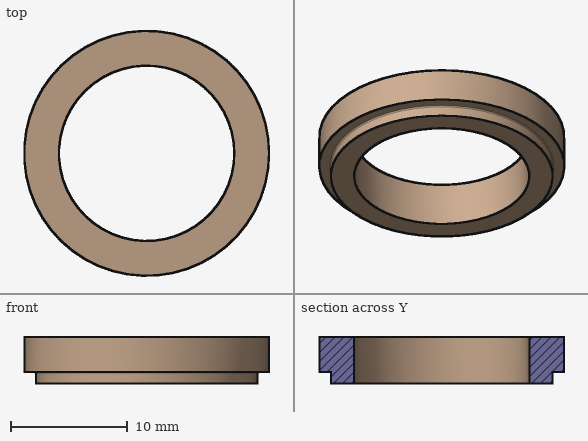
import cadquery as cq

flange_diameter = 21.0
spigot_diameter = 19.0
bore_diameter = 15.0
flange_height = 3.0
spigot_height = 1.0
step_fillet_radius = 0.1


def make_disc(diameter, bottom, height):
    """Solid disc centred on the Z axis, rising from the given level."""
    return cq.Workplane("XY").workplane(offset=bottom).circle(diameter / 2).extrude(height)


def fillet_step(body):
    """Round the inner corner where the spigot meets the flange underside."""
    underside = body.faces("<Z[1]")
    return underside.edges(cq.selectors.RadiusNthSelector(0)).fillet(step_fillet_radius)


spigot = make_disc(spigot_diameter, 0, spigot_height)
flange = make_disc(flange_diameter, spigot_height, flange_height)
stepped_body = fillet_step(spigot.union(flange))

bore = make_disc(bore_diameter, 0, spigot_height + flange_height)

result = stepped_body.cut(bore)